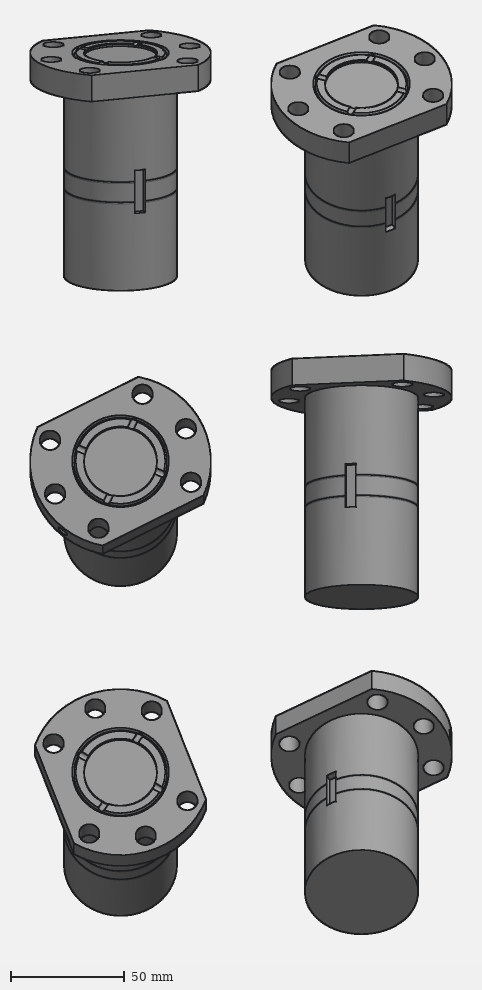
import cadquery as cq
import math

total_length = 102.0
body_diameter = 50.0
body_radius = body_diameter / 2

flange_diameter = 79.8
flange_width = 62.0
flange_thickness = 12.0
flange_bottom = total_length - flange_thickness

bolt_circle_radius = 32.5
bolt_hole_diameter = 9.0
bolt_angles = (45, 90, 135, 225, 270, 315)

port_diameter = 4.9
port_depth = 10.2
port_angle = 112.5

band_center_height = 45.0
band_length = 9.3
groove_width = 1.0
groove_depth = 0.1

key_length = 19.6
key_width = 4.9
key_depth = 3.0

bore_diameter = 32.0
bore_mouth_diameter = 32.2
bore_depth = 1.4
bore_mouth_depth = 0.5
wiper_groove_outer_radius = 21.3
wiper_groove_floor_radius = 20.5
wiper_groove_inner_radius = 19.7
wiper_groove_depth = 1.0

notch_diameter = 3.3
notch_depth = 0.8
notch_overrun = 0.3
notch_count = 4
notch_first_angle = 45.0
notch_tilt = -7.0


def flange():
    disc = cq.Workplane("XY").circle(flange_diameter / 2).extrude(flange_thickness)
    limits = cq.Workplane("XY").rect(flange_width, flange_diameter).extrude(flange_thickness)
    return disc.intersect(limits).translate((0, 0, flange_bottom))


def bolt_holes():
    points = [
        (
            bolt_circle_radius * math.cos(math.radians(angle)),
            bolt_circle_radius * math.sin(math.radians(angle)),
        )
        for angle in bolt_angles
    ]
    holes = cq.Workplane("XY").workplane(offset=flange_bottom).pushPoints(points)
    return holes.circle(bolt_hole_diameter / 2).extrude(flange_thickness)


def grease_port():
    port = (
        cq.Workplane("YZ")
        .workplane(offset=flange_diameter / 2 - port_depth)
        .center(0, flange_bottom + flange_thickness / 2)
        .circle(port_diameter / 2)
        .extrude(port_depth)
    )
    return port.rotate((0, 0, 0), (0, 0, 1), port_angle)


def revolved(profile_points):
    """Turn a closed (radius, height) outline about the Z axis."""
    profile = cq.Workplane("XZ").polyline(profile_points).close()
    return profile.revolve(360, (0, 0, 0), (0, 1, 0))


def band_groove(height):
    return revolved([
        (body_radius, height - groove_width / 2),
        (body_radius - groove_depth, height),
        (body_radius, height + groove_width / 2),
    ])


def keyway():
    return (
        cq.Workplane("YZ")
        .workplane(offset=body_radius - key_depth)
        .center(0, band_center_height)
        .rect(key_width, key_length)
        .extrude(key_depth)
    )


def wiper_bore():
    bore = cq.Workplane("XY").workplane(offset=total_length)
    mouth = bore.circle(bore_mouth_diameter / 2).extrude(-bore_mouth_depth)
    return bore.circle(bore_diameter / 2).extrude(-bore_depth).union(mouth)


def wiper_groove():
    floor = total_length - wiper_groove_depth
    return revolved([
        (wiper_groove_inner_radius, total_length),
        (wiper_groove_floor_radius, floor),
        (wiper_groove_outer_radius, total_length),
    ])


def wiper_notch(angle):
    """Trough from the bore to the wiper groove, tilted about its midpoint."""
    middle_radius = (bore_diameter / 2 + wiper_groove_floor_radius) / 2
    length = wiper_groove_floor_radius - bore_diameter / 2 + 2 * notch_overrun
    axis_height = total_length - notch_depth + notch_diameter / 2
    trough = (
        cq.Workplane("YZ")
        .workplane(offset=middle_radius - length / 2)
        .center(0, axis_height)
        .circle(notch_diameter / 2)
        .extrude(length)
        .rotate((middle_radius, 0, 0), (middle_radius, 0, 1), notch_tilt)
    )
    return trough.rotate((0, 0, 0), (0, 0, 1), angle)


result = cq.Workplane("XY").circle(body_radius).extrude(total_length).union(flange())
result = result.cut(bolt_holes()).cut(grease_port())

for side in (-1, 1):
    result = result.cut(band_groove(band_center_height + side * band_length / 2))
result = result.cut(keyway())

result = result.cut(wiper_bore()).cut(wiper_groove())
for index in range(notch_count):
    result = result.cut(wiper_notch(notch_first_angle + index * 360 / notch_count))